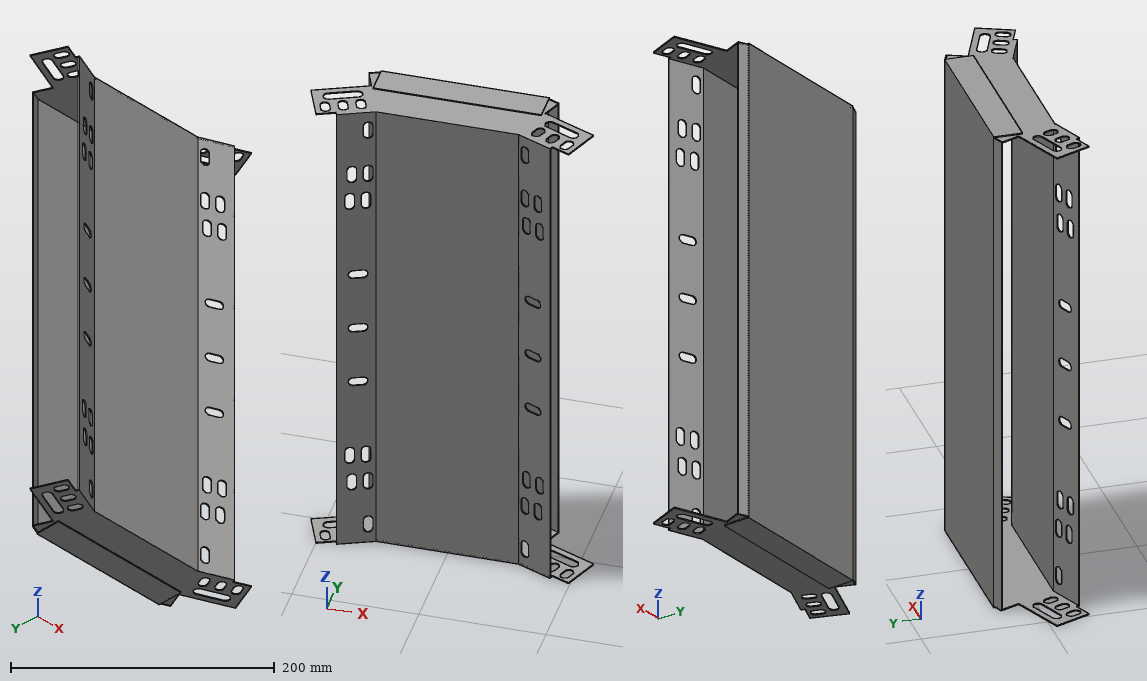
import cadquery as cq
import math

cover_length = 403.0
sheet = 1.0
bend_angle = 22.5
assembly_depth = 51.2
floor_half_width = 56.0

floor_wing_length = 30.2
flange_wing_length = 45.5
flange_edge_offset = 3.2
flange_wing_height = 34.3

cover_wing_length = 9.3
lip_depth = 23.0

slot_width = 7.3
inner_column = 6.0
column_pitch = 12.5
third_row_shift = 1.5
floor_slot_length = 15.0
end_slot_z = 184.0
second_row_z = 143.5
third_row_z = 118.5
cross_slot_place = 13.7
cross_slot_pitch = 50.0

long_slot_place = 22.0
long_slot_height = 25.0
long_slot_length = 30.2
long_slot_width = 8.0
short_slot_first = 10.0
short_slot_pitch = 13.7
short_slot_height = 11.5
short_slot_length = 12.0
short_slot_count = 3

tray_length = cover_length - 2 * sheet
ends = (-1, 1)
slope = math.radians(bend_angle)
fold_lean = math.tan(slope / 2)
cover_wing_end = cover_wing_length - assembly_depth * fold_lean
lip_half_width = floor_half_width + assembly_depth * fold_lean


def wing_point(along, height):
    """Point on the +X side: distance out from the fold, height above the wing outer face."""
    x = floor_half_width + along * math.cos(slope) + height * math.sin(slope)
    y = height * math.cos(slope) - along * math.sin(slope)
    return (x, y)


def fold_point(height):
    """Point on the line that halves the bend, at a height above the outer faces."""
    return (floor_half_width + height * fold_lean, height)


def mirrored_plate(right_side, thickness, z_middle):
    """Plate square to Z whose outline is given on the +X side and mirrored to -X."""
    left_side = [(-x, y) for x, y in reversed(right_side)]
    plane = cq.Workplane("XY", origin=(0, 0, z_middle))
    return plane.polyline(right_side + left_side).close().extrude(thickness / 2, both=True)


def bent_sheet(bottom, top, wing_end, length):
    """Sheet between two heights that follows both bends."""
    right_side = [
        fold_point(bottom),
        wing_point(wing_end, bottom),
        wing_point(wing_end, top),
        fold_point(top),
    ]
    return mirrored_plate(right_side, length, 0)


def flange(end):
    """Plate at one Z end of the tray, from the floor up to the underside of the cover."""
    cover_underside = assembly_depth - sheet
    outline = [
        fold_point(flange_edge_offset),
        wing_point(flange_wing_length, flange_edge_offset),
        wing_point(flange_wing_length, flange_wing_height),
        wing_point(cover_wing_end, flange_wing_height),
        wing_point(cover_wing_end, cover_underside),
        fold_point(cover_underside),
    ]
    web = [
        fold_point(0),
        wing_point(floor_wing_length, 0),
        wing_point(floor_wing_length, flange_edge_offset),
        fold_point(flange_edge_offset),
    ]
    z_middle = end * (tray_length - sheet) / 2
    return mirrored_plate(outline, sheet, z_middle).union(mirrored_plate(web, sheet, z_middle))


def floor_slots():
    """Cutters for the slots through the +X floor wing."""
    wing_face = cq.Plane(
        origin=(floor_half_width, 0, 0),
        xDir=(math.cos(slope), -math.sin(slope), 0),
        normal=(math.sin(slope), math.cos(slope), 0),
    )
    outer_column = inner_column + column_pitch
    upright_half = [
        (inner_column, end_slot_z),
        (inner_column, second_row_z),
        (outer_column, second_row_z),
        (inner_column + third_row_shift, third_row_z),
        (outer_column + third_row_shift, third_row_z),
    ]
    upright_places = [(along, end * z) for along, z in upright_half for end in ends]
    cross_places = [(cross_slot_place, step * cross_slot_pitch) for step in (-1, 0, 1)]
    upright = cq.Workplane(wing_face).pushPoints(upright_places).slot2D(floor_slot_length, slot_width, 90)
    cross = cq.Workplane(wing_face).pushPoints(cross_places).slot2D(floor_slot_length, slot_width)
    reach = 2 * sheet
    return upright.extrude(reach, both=True).union(cross.extrude(reach, both=True))


def flange_slots():
    """Cutters for the slots through the +X wings of both flanges."""
    long_place = wing_point(long_slot_place, long_slot_height)
    short_places = [
        wing_point(short_slot_first + i * short_slot_pitch, short_slot_height)
        for i in range(short_slot_count)
    ]
    long_slot = (
        cq.Workplane("XY").pushPoints([long_place]).slot2D(long_slot_length, long_slot_width, -bend_angle)
    )
    short_slots = (
        cq.Workplane("XY").pushPoints(short_places).slot2D(short_slot_length, slot_width, 90 - bend_angle)
    )
    reach = tray_length
    return long_slot.extrude(reach, both=True).union(short_slots.extrude(reach, both=True))


def build_tray():
    """Bent floor with a flange at each Z end and slots in all wings."""
    tray = bent_sheet(0, sheet, floor_wing_length, tray_length)
    for end in ends:
        tray = tray.union(flange(end))
    for cutters in (floor_slots(), flange_slots()):
        tray = tray.cut(cutters).cut(cutters.mirror("YZ"))
    return tray


def build_cover():
    """Bent cover with a lip at each Z end that laps over the tray flange."""
    cover = bent_sheet(assembly_depth - sheet, assembly_depth, cover_wing_end, tray_length)
    for end in ends:
        z_middle = end * (cover_length - sheet) / 2
        lip = cq.Workplane("XY").box(2 * lip_half_width, lip_depth, sheet)
        cover = cover.union(lip.translate((0, assembly_depth - lip_depth / 2, z_middle)))
    return cover


tray = build_tray()
cover = build_cover()
result = cq.Compound.makeCompound([tray.solids().val(), cover.solids().val()])